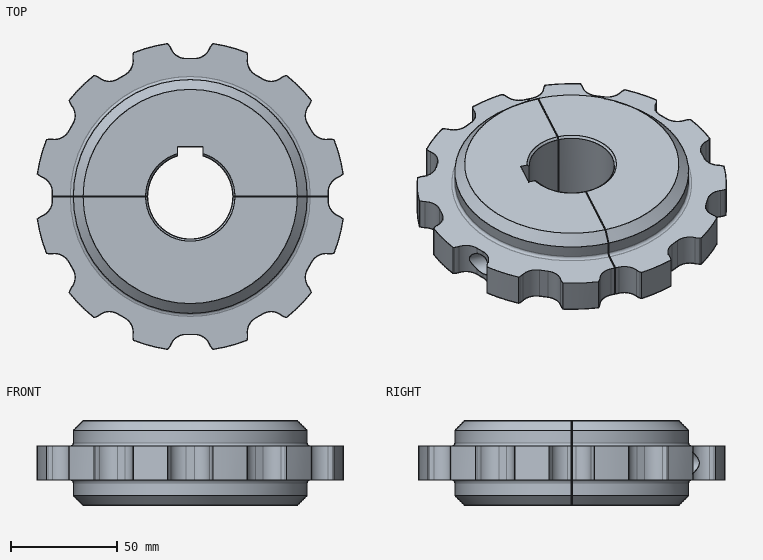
import cadquery as cq
import math

outer_size = 144.2
total_height = 40.0
rim_thickness = 16.2
tooth_count = 12

hub_radius = 55.1
hub_chamfer = 4.6
hub_root_fillet = 1.5

floor_distance = 65.0
floor_half_width = 2.0
root_radius = 7.6
root_half_width = 9.1
tip_half_width = 10.7
tip_bevel_width = 0.5
tip_bevel_depth = 0.5
tip_radius = math.hypot(outer_size / 2, tip_half_width)

bore_radius = 20.0
bore_chamfer = 1.0
keyway_width = 12.0
keyway_height = 23.4

split_gap = 0.5

screw_hole_radius = 5.5
screw_hole_offset = 33.5


def cylinder(radius, height):
    """Cylinder on the Z axis, centred on the origin."""
    return cq.Workplane("XY").circle(radius).extrude(height / 2, both=True)


def notch_cutter():
    """Gap between two teeth, centred on +X and open outwards."""

    def root_point(angle):
        """Point on the concave corner after it has turned by this angle from the floor."""
        return (
            floor_distance + root_radius * (1 - math.cos(angle)),
            floor_half_width + root_radius * math.sin(angle),
        )

    root_turn = math.asin((root_half_width - floor_half_width) / root_radius)
    tip_distance = outer_size / 2
    bevel_start = (tip_distance - tip_bevel_depth, tip_half_width - tip_bevel_width)
    half_notch = (
        cq.Workplane("XY")
        .workplane(offset=-rim_thickness / 2)
        .moveTo(floor_distance, 0)
        .lineTo(floor_distance, floor_half_width)
        .threePointArc(root_point(root_turn / 2), root_point(root_turn))
        .tangentArcPoint(bevel_start, relative=False)
        .lineTo(tip_distance, tip_half_width)
        .lineTo(outer_size, tip_half_width)
        .lineTo(outer_size, 0)
        .close()
        .extrude(rim_thickness)
    )
    return half_notch.union(half_notch.mirror("XZ"))


def toothed_rim():
    rim = cylinder(tip_radius, rim_thickness)
    cutter = notch_cutter()
    for index in range(tooth_count):
        rim = rim.cut(cutter.rotate((0, 0, 0), (0, 0, 1), index * 360 / tooth_count))
    return rim


def hub():
    """Chamfered boss with a concave fillet where it rises from each rim face."""
    half_height = total_height / 2
    half_rim = rim_thickness / 2
    fillet_middle = hub_root_fillet * (1 - math.sqrt(0.5))
    half_hub = (
        cq.Workplane("XZ")
        .lineTo(hub_radius + hub_root_fillet, 0)
        .lineTo(hub_radius + hub_root_fillet, half_rim)
        .threePointArc(
            (hub_radius + fillet_middle, half_rim + fillet_middle),
            (hub_radius, half_rim + hub_root_fillet),
        )
        .lineTo(hub_radius, half_height - hub_chamfer)
        .lineTo(hub_radius - hub_chamfer, half_height)
        .lineTo(0, half_height)
        .close()
        .revolve(360, (0, 0, 0), (0, 1, 0))
    )
    return half_hub.union(half_hub.mirror("XY"))


def bore_cutter():
    """Round bore, chamfered at both ends, with a keyway towards +Y."""
    half_height = total_height / 2
    bore = (
        cq.Workplane("XZ")
        .moveTo(0, -half_height)
        .lineTo(bore_radius + bore_chamfer, -half_height)
        .lineTo(bore_radius, bore_chamfer - half_height)
        .lineTo(bore_radius, half_height - bore_chamfer)
        .lineTo(bore_radius + bore_chamfer, half_height)
        .lineTo(0, half_height)
        .close()
        .revolve(360, (0, 0, 0), (0, 1, 0))
    )
    keyway = cq.Workplane("XY").box(
        keyway_width, keyway_height, total_height, centered=(True, False, True)
    )
    return bore.union(keyway)


def half_wheel(wheel, side):
    """The half of the wheel on the +Y side (side = 1) or the -Y side (side = -1) of the saw cut."""
    half_space = cq.Workplane("XY").box(outer_size * 2, outer_size, outer_size)
    return wheel.intersect(half_space.translate((0, side * (outer_size + split_gap) / 2, 0)))


def screw_holes():
    return (
        cq.Workplane("XZ")
        .pushPoints([(-screw_hole_offset, 0), (screw_hole_offset, 0)])
        .circle(screw_hole_radius)
        .extrude(-outer_size)
    )


whole_wheel = toothed_rim().union(hub()).cut(bore_cutter())

keyway_half = half_wheel(whole_wheel, 1).cut(screw_holes())
plain_half = half_wheel(whole_wheel, -1)

result = cq.Compound.makeCompound([keyway_half.solids().val(), plain_half.solids().val()])